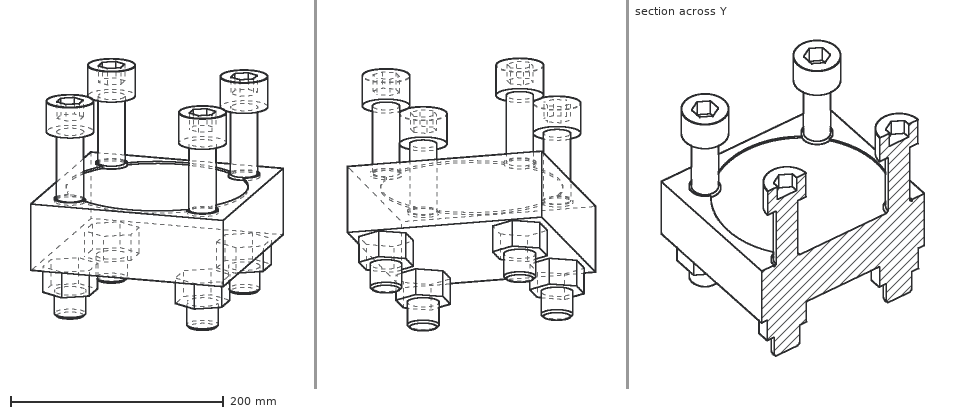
import cadquery as cq
import math

plate_side = 190.0
plate_thickness = 64.9
recess_diameter = 172.0
recess_depth = 2.0

bolt_spacing = 130.8
thread_diameter = 30.0
shank_diameter = 25.6
shank_exposed = 65.5
thread_exposed = 24.4
thread_chamfer = (thread_diameter - shank_diameter) / 2
head_diameter = 45.0
head_height = 30.0
head_chamfer = 0.5
socket_across_flats = 22.0
socket_depth = 16.0

nut_across_flats = 46.0
nut_height = 25.2

nut_bottom = thread_exposed
plate_bottom = nut_bottom + nut_height
plate_top = plate_bottom + plate_thickness
head_bottom = plate_top + shank_exposed
head_top = head_bottom + head_height


def hexagon(across_flats, bottom, height):
    """Hexagonal prism with flats facing X and corners facing Y."""
    across_corners = across_flats / math.cos(math.radians(30))
    return (
        cq.Workplane("XY", origin=(0, 0, bottom))
        .transformed(rotate=(0, 0, 90))
        .polygon(6, across_corners)
        .extrude(height)
    )


def cylinder(diameter, bottom, top):
    """Upright cylinder on the Z axis between two levels."""
    return cq.Workplane("XY", origin=(0, 0, bottom)).circle(diameter / 2).extrude(top - bottom)


def make_plate():
    """Plate with the recess and a through hole for each bolt thread."""
    base = cq.Workplane("XY", origin=(0, 0, plate_bottom))
    plate = base.rect(plate_side, plate_side).extrude(plate_thickness)
    recess = cylinder(recess_diameter, plate_top - recess_depth, plate_top)
    holes = (
        base.rect(bolt_spacing, bolt_spacing, forConstruction=True)
        .vertices()
        .circle(thread_diameter / 2)
        .extrude(plate_thickness)
    )
    return plate.cut(recess).cut(holes)


def make_bolt():
    """Bolt and nut on the Z axis; the chamfered thread ends level with the plate top."""
    thread = cylinder(thread_diameter, 0, plate_top).edges("%CIRCLE").chamfer(thread_chamfer)
    shank = cylinder(shank_diameter, plate_top, head_bottom)
    head = cylinder(head_diameter, head_bottom, head_top).faces(">Z").edges().chamfer(head_chamfer)
    socket = hexagon(socket_across_flats, head_top - socket_depth, socket_depth)
    nut = hexagon(nut_across_flats, nut_bottom, nut_height)
    return thread.union(shank).union(head).cut(socket).union(nut)


result = make_plate()
bolt = make_bolt()
for x_side in (-1, 1):
    for y_side in (-1, 1):
        position = (x_side * bolt_spacing / 2, y_side * bolt_spacing / 2, 0)
        result = result.union(bolt.translate(position))